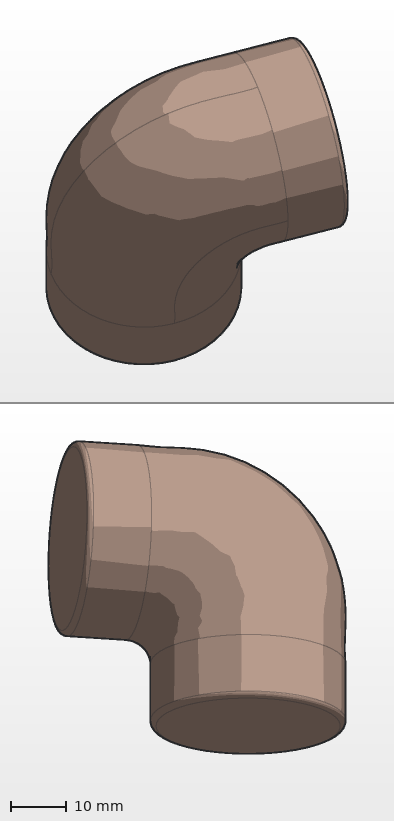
import cadquery as cq
import math

overall = 50.5
diameter = 35.0
inner_bend = 3.9
outer_bend = 29.3
rim_round = 1.0
section_count = 9

radius = diameter / 2
collar_length = overall - diameter - inner_bend
bend_span = inner_bend + diameter
back_center = bend_span - outer_bend

pivot_y = radius + inner_bend
pivot_z = collar_length


def back_distance(angle):
    """Distance from the pivot to the back of the elbow at an angle from -Y."""
    c, s = math.cos(angle), math.sin(angle)
    straight = bend_span / max(c, s)
    if straight * min(c, s) <= back_center:
        return straight
    along = back_center * (c + s)
    return along + math.sqrt(along**2 - 2 * back_center**2 + outer_bend**2)


def bend_section(angle):
    """Elliptical section of constant width in a plane through the pivot."""
    far = back_distance(angle)
    middle = (far + inner_bend) / 2
    y_dir, z_dir = -math.cos(angle), math.sin(angle)
    center = cq.Vector(0, pivot_y + middle * y_dir, pivot_z + middle * z_dir)
    normal = cq.Vector(0, z_dir, -y_dir)
    depth = (far - inner_bend) / 2
    ellipse = cq.Edge.makeEllipse(
        depth, radius, center, normal, cq.Vector(0, y_dir, z_dir)
    ) if depth > radius else cq.Edge.makeCircle(radius, center, normal)
    return cq.Wire.assembleEdges([ellipse])


def make_bend():
    step = math.pi / 2 / (section_count - 1)
    sections = [bend_section(i * step) for i in range(section_count)]
    return cq.Workplane(obj=cq.Solid.makeLoft(sections))


def make_collar():
    """Straight end with a rounded rim on its -Z side."""
    collar = cq.Workplane("XY").circle(radius).extrude(collar_length)
    return collar.faces("<Z").edges().fillet(rim_round)


lower_collar = make_collar()
upper_collar = (
    make_collar()
    .rotate((0, 0, 0), (1, 0, 0), 90)
    .translate((0, pivot_y + collar_length, overall - radius))
)

result = make_bend().union(lower_collar).union(upper_collar)